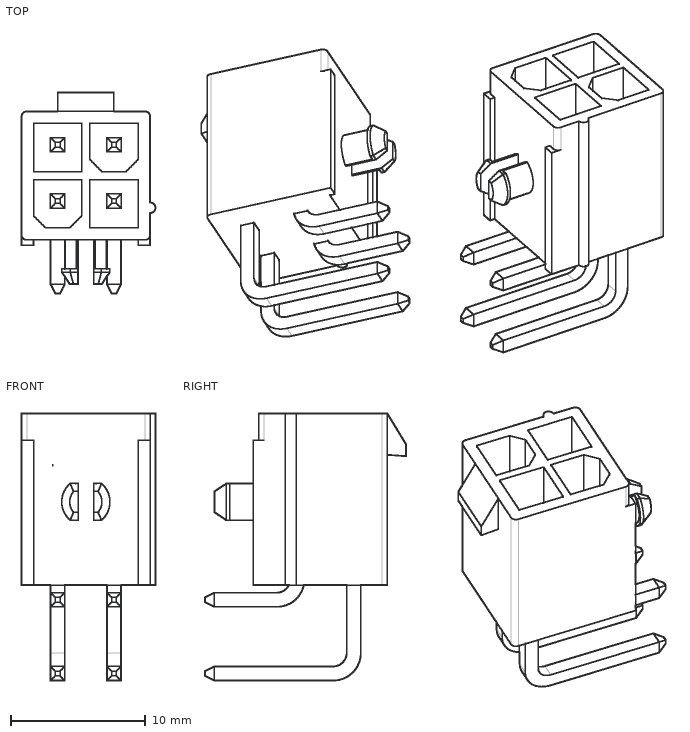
import cadquery as cq


OVERLAP = 0.2

BODY_SIZE = 9.6
BODY_HEIGHT = 12.8
HALF_BODY = BODY_SIZE / 2
CORNER_RADIUS = 0.4

PITCH = 4.2
CAVITY_SIZE = 3.6
CAVITY_DEPTH = 10.0
CAVITY_CHAMFER = 0.9

RAIL_WIDTH = 0.9
RAIL_PROJECTION = 0.4
RAIL_HEIGHT = 10.8

LATCH_WIDTH = 4.2
LATCH_PROJECTION = 1.4
LATCH_RAMP_DROP = 2.3
LATCH_DROP_AT_BODY = 3.1
LATCH_DROP_AT_TIP = 3.2

RIB_RADIUS = 0.4
RIB_Y = -2.4

PEG_Z = 6.2
PEG_LENGTH = 3.3
PEG_SHAFT_RADIUS = 1.55
PEG_HEAD_RADIUS = 1.8
PEG_HEAD_RIM = 0.25
PEG_TAPER_LENGTH = 0.9
PEG_TAPER_INSET = 0.6
PEG_HALF_HEIGHT = 1.375
PEG_SLOT_WIDTH = 1.15

PIN_SIZE = 1.07
PIN_TIP_SIZE = 0.36
PIN_TIP_LENGTH = 0.7
PIN_ROW_OFFSET = 0.2
PIN_INNER_BEND = 1.0
PIN_BEND = PIN_INNER_BEND + PIN_SIZE / 2
PIN_TOP_Z = 9.3
PIN_END_Y = -8.8
FRONT_TAIL_Z = -1.1
TAIL_SPACING = 5.5


def make_shell():
    """Square block with rounded vertical corners."""
    block = cq.Workplane("XY").rect(BODY_SIZE, BODY_SIZE).extrude(BODY_HEIGHT)
    return block.edges("|Z").fillet(CORNER_RADIUS)


def make_cavity(x, y, is_keyed):
    """Square contact cavity; a keyed one has its two -Y corners chamfered."""
    floor = cq.Workplane("XY", origin=(x, y, BODY_HEIGHT - CAVITY_DEPTH))
    cavity = floor.rect(CAVITY_SIZE, CAVITY_SIZE).extrude(CAVITY_DEPTH)
    if is_keyed:
        cavity = cavity.faces("<Y").edges("|Z").chamfer(CAVITY_CHAMFER)
    return cavity


def make_rail(side):
    """Rail along one front corner that squares the corner off below its top."""
    depth = RAIL_PROJECTION + CORNER_RADIUS
    x = side * (HALF_BODY - RAIL_WIDTH / 2)
    y = -HALF_BODY - RAIL_PROJECTION + depth / 2
    return cq.Workplane("XY").center(x, y).rect(RAIL_WIDTH, depth).extrude(RAIL_HEIGHT)


def make_latch():
    """Ramp that starts at the top edge and ends in a slightly hooked underside."""
    tip_y = HALF_BODY + LATCH_PROJECTION
    root_y = HALF_BODY - OVERLAP
    return (
        cq.Workplane("YZ")
        .moveTo(root_y, BODY_HEIGHT)
        .lineTo(HALF_BODY, BODY_HEIGHT)
        .lineTo(tip_y, BODY_HEIGHT - LATCH_RAMP_DROP)
        .lineTo(tip_y, BODY_HEIGHT - LATCH_DROP_AT_TIP)
        .lineTo(HALF_BODY, BODY_HEIGHT - LATCH_DROP_AT_BODY)
        .lineTo(root_y, BODY_HEIGHT - LATCH_DROP_AT_BODY)
        .close()
        .extrude(LATCH_WIDTH / 2, both=True)
    )


def make_rib():
    """Full-height rib whose outer half stands out of the +X face."""
    return cq.Workplane("XY").center(HALF_BODY, RIB_Y).circle(RIB_RADIUS).extrude(BODY_HEIGHT)


def make_peg():
    """Headed, tapered peg with flats above and below, split by an upright slot."""
    root_y = -HALF_BODY + OVERLAP
    end_y = -HALF_BODY - PEG_LENGTH
    taper_y = end_y + PEG_TAPER_LENGTH
    rim_y = taper_y + PEG_HEAD_RIM

    turned = (
        cq.Workplane("XY", origin=(0, 0, PEG_Z))
        .moveTo(0, root_y)
        .lineTo(PEG_SHAFT_RADIUS, root_y)
        .lineTo(PEG_SHAFT_RADIUS, rim_y)
        .lineTo(PEG_HEAD_RADIUS, rim_y)
        .lineTo(PEG_HEAD_RADIUS, taper_y)
        .lineTo(PEG_HEAD_RADIUS - PEG_TAPER_INSET, end_y)
        .lineTo(0, end_y)
        .close()
        .revolve(360, (0, 0, 0), (0, 1, 0))
    )
    end_half_height = PEG_HALF_HEIGHT - PEG_TAPER_INSET
    flats = (
        cq.Workplane("YZ", origin=(0, 0, PEG_Z))
        .moveTo(root_y, PEG_HALF_HEIGHT)
        .lineTo(taper_y, PEG_HALF_HEIGHT)
        .lineTo(end_y, end_half_height)
        .lineTo(end_y, -end_half_height)
        .lineTo(taper_y, -PEG_HALF_HEIGHT)
        .lineTo(root_y, -PEG_HALF_HEIGHT)
        .close()
        .extrude(PEG_HEAD_RADIUS, both=True)
    )
    slot = cq.Workplane("XZ", origin=(0, root_y, PEG_Z))
    slot = slot.rect(PEG_SLOT_WIDTH, 2 * PEG_HALF_HEIGHT).extrude(root_y - end_y)
    return turned.intersect(flats).cut(slot)


def make_tip(plane, origin):
    """Blunt pyramid that points along the plane's normal."""
    return (
        cq.Workplane(plane, origin=origin)
        .rect(PIN_SIZE, PIN_SIZE)
        .workplane(offset=PIN_TIP_LENGTH)
        .rect(PIN_TIP_SIZE, PIN_TIP_SIZE)
        .loft()
    )


def make_pin(x, y, tail_z):
    """Square wire that drops from the cavity, bends and runs toward -Y."""
    shoulder_z = PIN_TOP_Z - PIN_TIP_LENGTH
    shoulder_y = PIN_END_Y + PIN_TIP_LENGTH
    path = (
        cq.Workplane("YZ", origin=(x, 0, 0))
        .moveTo(y, shoulder_z)
        .lineTo(y, tail_z + PIN_BEND)
        .tangentArcPoint((y - PIN_BEND, tail_z), relative=False)
        .lineTo(shoulder_y, tail_z)
    )
    wire = cq.Workplane("XY", origin=(x, y, shoulder_z)).rect(PIN_SIZE, PIN_SIZE).sweep(path)
    contact_tip = make_tip("XY", (x, y, shoulder_z))
    tail_tip = make_tip("XZ", (x, shoulder_y, tail_z))
    return wire.union(contact_tip).union(tail_tip)


def make_housing(pins):
    """Housing with its cavities, outer features and a fitted hole for each pin."""
    housing = make_shell().union(make_latch()).union(make_rib()).union(make_peg())
    for side in (-1, 1):
        housing = housing.union(make_rail(side))
        for row in (-1, 1):
            is_keyed = side == row
            housing = housing.cut(make_cavity(side * PITCH / 2, row * PITCH / 2, is_keyed))
    for pin in pins:
        housing = housing.cut(pin)
    return housing


pins = []
for row, tail_z in ((-1, FRONT_TAIL_Z), (1, FRONT_TAIL_Z - TAIL_SPACING)):
    for side in (-1, 1):
        pins.append(make_pin(side * PITCH / 2, row * PITCH / 2 + PIN_ROW_OFFSET, tail_z))

housing = make_housing(pins)

bodies = [body.solids().val() for body in (housing, *pins)]
result = cq.Compound.makeCompound(bodies)